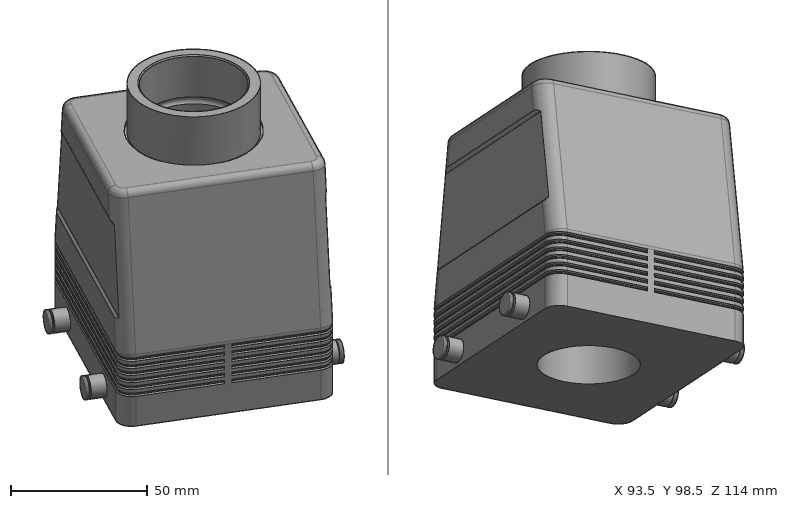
import cadquery as cq
import math

BODY_LENGTH_X = 93.5
BODY_WIDTH_Y = 82.5
BODY_HEIGHT = 94.0
BASE_HEIGHT = 29.95
BEND_RADIUS = 7.0
TOP_LENGTH_X = 72.0
CORNER_RADIUS = 6.0
TOP_EDGE_RADIUS = 3.0

COLLAR_DIAMETER = 49.0
TOTAL_HEIGHT = 114.0
MOAT_WIDTH = 1.0
MOAT_DEPTH = 1.0
BORE_DIAMETER = 40.0
BORE_DEPTH = 17.7
SEAT_DIAMETER = 39.6
SEAT_DEPTH = 20.5
SEAT_FLOOR_RADIUS = 2.0
BORE_CHAMFER = 0.5
HOLE_DIAMETER = 38.0

GROOVE_COUNT = 6
GROOVE_PITCH = 3.0
GROOVE_WIDTH = 1.5
GROOVE_FLOOR_WIDTH = 0.5
GROOVE_DEPTH = 0.5
LOWEST_GROOVE_Z = 13.4
STRIP_WIDTH = 3.0

PANEL_DEPTH = 1.0
PANEL_BOTTOM_Z = 43.0
PANEL_TOP_Z = 81.2
PANEL_LOWER_SLOPE = 1.0
PANEL_UPPER_SLOPE = 1.4

PIN_SPACING = 49.5
PIN_Z = 6.0
PIN_DIAMETER = 9.0
PIN_SPAN_Y = 98.5
PIN_NECK_DIAMETER = 5.3
PIN_NECK_LENGTH = 0.6
PIN_HEAD_LENGTH = 1.4
PIN_HEAD_RADIUS = 0.45
PIN_EMBED = 1.0

HALF_WIDTH = BODY_WIDTH_Y / 2


def make_body():
    """Tapered block with rounded corners and a rounded top rim."""
    body = (
        cq.Workplane("XZ")
        .polyline([
            (-BODY_LENGTH_X / 2, 0),
            (BODY_LENGTH_X / 2, 0),
            (BODY_LENGTH_X / 2, BASE_HEIGHT),
            (TOP_LENGTH_X / 2, BODY_HEIGHT),
            (-TOP_LENGTH_X / 2, BODY_HEIGHT),
            (-BODY_LENGTH_X / 2, BASE_HEIGHT),
        ])
        .close()
        .extrude(HALF_WIDTH, both=True)
    )
    side_edges = body.edges("|Y")
    bend_edges = side_edges.filter(lambda edge: math.isclose(edge.Center().z, BASE_HEIGHT))
    body = bend_edges.fillet(BEND_RADIUS)
    upright_edges = body.faces("|Y").edges("not(<Z or >Z)")
    body = upright_edges.fillet(CORNER_RADIUS)
    return body.faces(">Z").edges().fillet(TOP_EDGE_RADIUS)


def make_groove(center_z):
    """Bead with sloping flanks that one grip groove removes, following the base outline."""
    rectangle = cq.Workplane("XY", origin=(0, 0, center_z)).rect(BODY_LENGTH_X, BODY_WIDTH_Y).val()
    outline = rectangle.fillet2D(CORNER_RADIUS, rectangle.Vertices())
    bead = (
        cq.Workplane("YZ", origin=(0, HALF_WIDTH, center_z))
        .polyline([
            (GROOVE_DEPTH, GROOVE_WIDTH / 2),
            (0, GROOVE_WIDTH / 2),
            (-GROOVE_DEPTH, GROOVE_FLOOR_WIDTH / 2),
            (-GROOVE_DEPTH, -GROOVE_FLOOR_WIDTH / 2),
            (0, -GROOVE_WIDTH / 2),
            (GROOVE_DEPTH, -GROOVE_WIDTH / 2),
        ])
        .close()
        .sweep(cq.Workplane(outline))
    )
    strip = cq.Workplane("XY").box(2 * BODY_LENGTH_X, STRIP_WIDTH, BODY_HEIGHT)
    return bead.cut(strip)


def make_panel():
    """Cutter for the shallow panel on the +Y side."""
    floor_y = HALF_WIDTH - PANEL_DEPTH
    return (
        cq.Workplane("YZ")
        .polyline([
            (HALF_WIDTH, PANEL_BOTTOM_Z),
            (HALF_WIDTH, PANEL_TOP_Z),
            (floor_y, PANEL_TOP_Z - PANEL_UPPER_SLOPE),
            (floor_y, PANEL_BOTTOM_Z + PANEL_LOWER_SLOPE),
        ])
        .close()
        .extrude(BODY_LENGTH_X / 2, both=True)
    )


def add_collar(body):
    """Add the round collar, the moat around its foot and the stepped bore."""
    moat_floor_z = BODY_HEIGHT - MOAT_DEPTH
    moat = (
        cq.Workplane("XY", origin=(0, 0, moat_floor_z))
        .circle(COLLAR_DIAMETER / 2 + MOAT_WIDTH)
        .extrude(MOAT_DEPTH)
    )
    collar = (
        cq.Workplane("XY", origin=(0, 0, moat_floor_z))
        .circle(COLLAR_DIAMETER / 2)
        .extrude(TOTAL_HEIGHT - moat_floor_z)
    )
    bore = (
        cq.Workplane("XY", origin=(0, 0, TOTAL_HEIGHT - BORE_DEPTH))
        .circle(BORE_DIAMETER / 2)
        .extrude(BORE_DEPTH)
    )
    seat = (
        cq.Workplane("XY", origin=(0, 0, TOTAL_HEIGHT - SEAT_DEPTH))
        .circle(SEAT_DIAMETER / 2)
        .extrude(SEAT_DEPTH)
        .faces("<Z")
        .edges()
        .fillet(SEAT_FLOOR_RADIUS)
    )
    hole = cq.Workplane("XY").circle(HOLE_DIAMETER / 2).extrude(TOTAL_HEIGHT)
    mouth = (
        cq.Workplane("XY", origin=(0, 0, TOTAL_HEIGHT))
        .circle(BORE_DIAMETER / 2 + BORE_CHAMFER)
        .extrude(-BORE_CHAMFER, taper=45)
    )
    return body.cut(moat).union(collar).cut(bore).cut(seat).cut(hole).cut(mouth)


def make_pin():
    """Locking pin with a necked, round-edged head, pointing toward +Y at X = 0."""
    head_end = PIN_SPAN_Y / 2
    neck_end = head_end - PIN_HEAD_LENGTH
    shank_end = neck_end - PIN_NECK_LENGTH
    shank_start = HALF_WIDTH - PIN_EMBED

    def cylinder(diameter, start_y, end_y):
        plane = cq.Plane(origin=(0, start_y, PIN_Z), xDir=(1, 0, 0), normal=(0, 1, 0))
        return cq.Workplane(plane).circle(diameter / 2).extrude(end_y - start_y)

    shank = cylinder(PIN_DIAMETER, shank_start, shank_end)
    neck = cylinder(PIN_NECK_DIAMETER, shank_end, neck_end)
    head = cylinder(PIN_DIAMETER, neck_end, head_end).edges().fillet(PIN_HEAD_RADIUS)
    return shank.union(neck).union(head)


result = make_body()
for groove_index in range(GROOVE_COUNT):
    result = result.cut(make_groove(LOWEST_GROOVE_Z + groove_index * GROOVE_PITCH))

result = add_collar(result)

panel = make_panel()
pin = make_pin()
for turn in (0, 180):
    result = result.cut(panel.rotate((0, 0, 0), (0, 0, 1), turn))
    for pin_x in (-PIN_SPACING / 2, PIN_SPACING / 2):
        placed_pin = pin.translate((pin_x, 0, 0)).rotate((0, 0, 0), (0, 0, 1), turn)
        result = result.union(placed_pin)